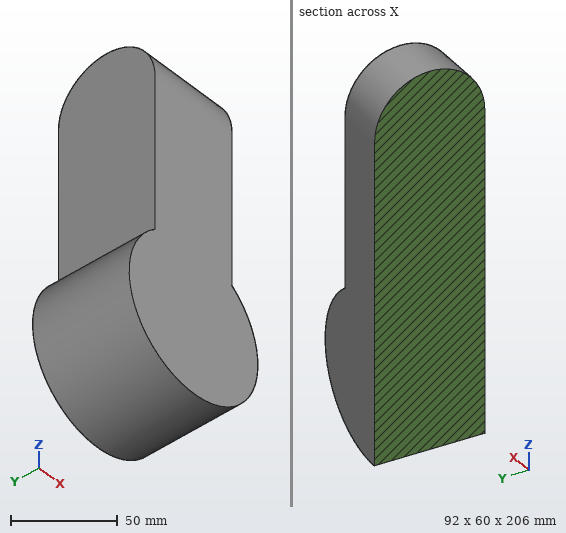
import cadquery as cq

thickness = 60.0
disc_radius = 46.0
arm_width = 55.0
arm_top = 160.0

tip_radius = thickness / 2
tip_center_height = arm_top - tip_radius


def make_disc():
    """Round base, a cylinder along Y."""
    return cq.Workplane("XZ").circle(disc_radius).extrude(thickness / 2, both=True)


def make_arm():
    """Upright arm from the disc centre, rounded at the top about an X axis."""
    return (
        cq.Workplane("YZ")
        .moveTo(-tip_radius, 0)
        .lineTo(-tip_radius, tip_center_height)
        .threePointArc((0, arm_top), (tip_radius, tip_center_height))
        .lineTo(tip_radius, 0)
        .close()
        .extrude(arm_width / 2, both=True)
    )


result = make_disc().union(make_arm()).clean()